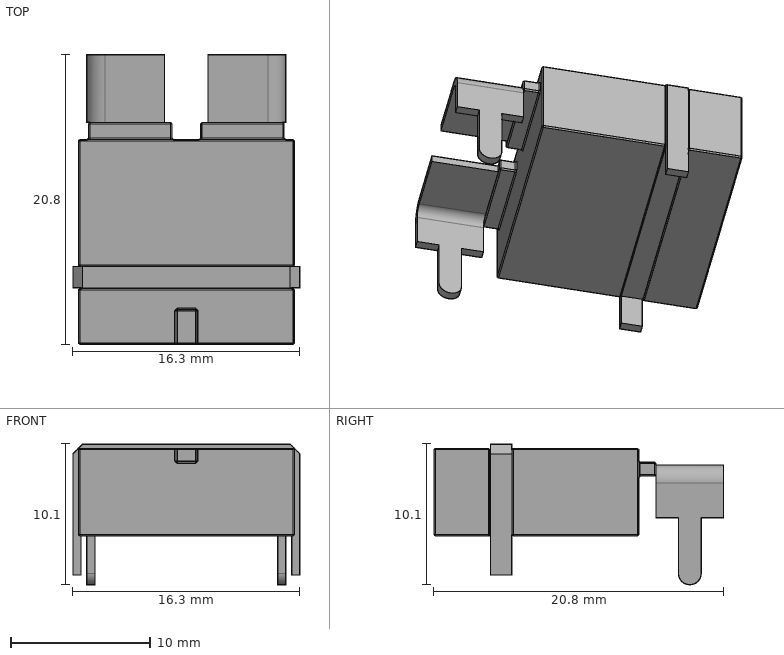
import cadquery as cq
housing_width = 15.5
housing_length = 14.7
housing_height = 6.3
edge_bevel = 0.1
groove_start = 4.0
groove_length = 1.6

notch_width = 1.5
notch_length = 2.5
notch_depth = 1.0

strap_width = 16.3
strap_height = 9.4
strap_thickness = 0.6
strap_bevel = 0.7
strap_clearance = 0.05
strap_rise = 0.3

ear_width = 6.0
ear_height = 1.0
ear_drop = 1.0
ear_gap = 2.05

terminal_span = 14.3
terminal_width = 5.6
terminal_length = 4.87
terminal_thickness = 0.6
terminal_height = 3.8
terminal_drop = 1.2
bend_radius = 1.3
leg_width = 1.65

overall_length = 20.8
overall_height = 10.1

groove_end = groove_start + groove_length
strap_start = groove_start + strap_clearance
strap_length = groove_length - strap_clearance
strap_top = housing_height + strap_rise
strap_base = strap_top - strap_height
strap_inner_width = strap_width - 2 * strap_thickness
neck_height = strap_top - strap_thickness
terminal_start = overall_length - terminal_length
ear_length = terminal_start - housing_length
ear_base = housing_height - ear_drop - ear_height
terminal_top = housing_height - terminal_drop
terminal_base = terminal_top - terminal_height
leg_radius = leg_width / 2
leg_tip = strap_top - overall_height
leg_centre = terminal_start + terminal_length / 2


def block(x_min, y_min, z_min, width, length, height):
    """Box given by its lowest corner and its sizes along X, Y and Z."""
    return cq.Workplane("XY").box(width, length, height, centered=False).translate((x_min, y_min, z_min))


def centred_block(y_min, z_min, width, length, height):
    """Box centred on X."""
    return block(-width / 2, y_min, z_min, width, length, height)


def bevelled(body):
    """Body with every edge bevelled, inside corners included."""
    return body.edges().chamfer(edge_bevel)


def make_front_block():
    """Part of the housing ahead of the strap, with the notch open to the front and top."""
    front = centred_block(0, 0, housing_width, groove_start, housing_height)
    notch = centred_block(0, housing_height - notch_depth, notch_width, notch_length, notch_depth)
    return bevelled(front.cut(notch))


def make_rear_block():
    """Part of the housing behind the strap, with two ears on its rear face."""
    rear = centred_block(groove_end, 0, housing_width, housing_length - groove_end, housing_height)
    for ear_start in (-ear_gap / 2 - ear_width, ear_gap / 2):
        ear = block(ear_start, housing_length, ear_base, ear_width, ear_length, ear_height)
        rear = rear.union(ear)
    return bevelled(rear)


def make_housing():
    """Front and rear blocks joined by a slimmer neck that the strap sits around."""
    neck = centred_block(groove_start, 0, strap_inner_width, groove_length, neck_height)
    return make_front_block().union(neck).union(make_rear_block())


def make_strap():
    """Bevelled U-shaped strap whose legs hang down past the housing."""
    outer = centred_block(strap_start, strap_base, strap_width, strap_length, strap_height)
    outer = outer.faces(">Z").edges("|Y").chamfer(strap_bevel)
    opening_height = strap_height - strap_thickness
    opening = centred_block(strap_start, strap_base, strap_inner_width, strap_length, opening_height)
    return outer.cut(opening)


def rounded_sheet_block(width, height, corner_radius, outer_x):
    """Block ending at outer_x with its upper outer edge rounded."""
    sheet = block(outer_x - width, terminal_start, terminal_base, width, terminal_length, height)
    return sheet.edges("|Y and >X and >Z").fillet(corner_radius)


def make_terminal(side):
    """Sheet bent down at its outer edge, with a round-ended leg below; side is -1 (left) or 1 (right)."""
    outer_x = terminal_span / 2
    inner_x = outer_x - terminal_thickness
    sheet = rounded_sheet_block(terminal_width, terminal_height, bend_radius, outer_x)
    hollow = rounded_sheet_block(
        terminal_width - terminal_thickness,
        terminal_height - terminal_thickness,
        bend_radius - terminal_thickness,
        inner_x,
    )
    leg = (
        cq.Workplane("YZ", origin=(inner_x, leg_centre, 0))
        .moveTo(-leg_radius, terminal_base)
        .lineTo(-leg_radius, leg_tip + leg_radius)
        .threePointArc((0, leg_tip), (leg_radius, leg_tip + leg_radius))
        .lineTo(leg_radius, terminal_base)
        .close()
        .extrude(terminal_thickness)
    )
    terminal = sheet.cut(hollow).union(leg)
    return terminal if side > 0 else terminal.mirror("YZ")


housing = make_housing()
strap = make_strap()
terminals = [make_terminal(side) for side in (-1, 1)]

result = cq.Compound.makeCompound(
    [housing.val(), strap.val(), *[terminal.val() for terminal in terminals]]
)